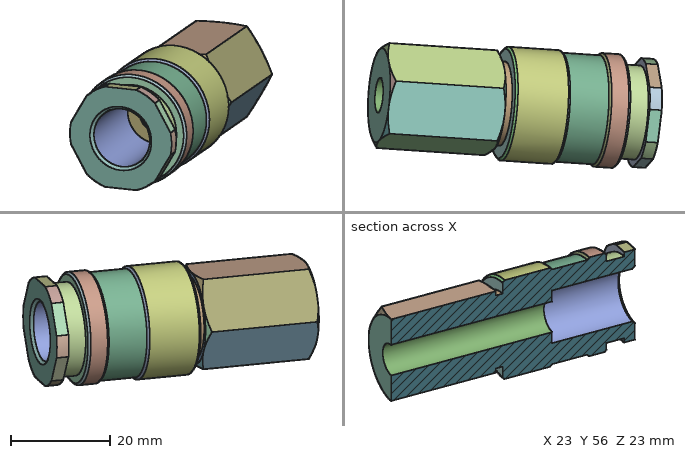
import cadquery as cq
import math

TOTAL_LENGTH = 56.0

FLANGE_END = 2.5
FRONT_COLLAR_START = 6.55
FRONT_COLLAR_END = 11.05
REAR_COLLAR_START = 19.05
REAR_COLLAR_END = 30.45
HEX_START = 32.0

COLLAR_DIAMETER = 23.0
COLLAR_RADIUS = COLLAR_DIAMETER / 2
COLLAR_CHAMFER = 0.475
SLEEVE_RADIUS = COLLAR_RADIUS - COLLAR_CHAMFER
SPIGOT_RADIUS = 9.5
NECK_RADIUS = 8.5

FLANGE_FLATS = 21.0
HEX_FLATS = 19.0
HEX_CHAMFER_ANGLE = 30.0

SOCKET_RADIUS = 6.05
SOCKET_DEPTH = REAR_COLLAR_START
MOUTH_CHAMFER = 0.6
PASSAGE_DIAMETER = 7.0
PASSAGE_RADIUS = PASSAGE_DIAMETER / 2


def cylinder(radius, start, end):
    """Cylinder on the Y axis between two positions."""
    plane = cq.Workplane("XZ", origin=(0, start, 0))
    return plane.circle(radius).extrude(start - end)


def hexagon(across_flats, start, end):
    """Hexagonal prism on the Y axis, with corners on +X and -X."""
    across_corners = across_flats / math.cos(math.pi / 6)
    plane = cq.Workplane("XZ", origin=(0, start, 0))
    return plane.polygon(6, across_corners).extrude(start - end)


def collar(start, end):
    """Raised ring with both rims chamfered."""
    return cylinder(COLLAR_RADIUS, start, end).edges("%CIRCLE").chamfer(COLLAR_CHAMFER)


def hex_end():
    """Wrench hexagon with conical chamfers cutting back its corners at both ends."""
    flat_radius = HEX_FLATS / 2
    corner_radius = flat_radius / math.cos(math.pi / 6)
    chamfer_length = (corner_radius - flat_radius) * math.tan(math.radians(HEX_CHAMFER_ANGLE))
    envelope = (
        cq.Workplane("XY")
        .moveTo(0, HEX_START)
        .lineTo(flat_radius, HEX_START)
        .lineTo(corner_radius, HEX_START + chamfer_length)
        .lineTo(corner_radius, TOTAL_LENGTH - chamfer_length)
        .lineTo(flat_radius, TOTAL_LENGTH)
        .lineTo(0, TOTAL_LENGTH)
        .close()
        .revolve(360, (0, 0, 0), (0, 1, 0))
    )
    return hexagon(HEX_FLATS, HEX_START, TOTAL_LENGTH).intersect(envelope)


def flange():
    """Round mouth flange with six wrench flats."""
    return cylinder(SLEEVE_RADIUS, 0, FLANGE_END).intersect(hexagon(FLANGE_FLATS, 0, FLANGE_END))


def bore():
    """Chamfered socket at the mouth, followed by the narrower through passage."""
    profile = (
        cq.Workplane("XY")
        .lineTo(SOCKET_RADIUS + MOUTH_CHAMFER, 0)
        .lineTo(SOCKET_RADIUS, MOUTH_CHAMFER)
        .lineTo(SOCKET_RADIUS, SOCKET_DEPTH)
        .lineTo(PASSAGE_RADIUS, SOCKET_DEPTH)
        .lineTo(PASSAGE_RADIUS, TOTAL_LENGTH)
        .lineTo(0, TOTAL_LENGTH)
        .close()
    )
    return profile.revolve(360, (0, 0, 0), (0, 1, 0))


spigot = cylinder(SPIGOT_RADIUS, 0, FRONT_COLLAR_END)
sleeve = cylinder(SLEEVE_RADIUS, FRONT_COLLAR_START, REAR_COLLAR_END)
neck = cylinder(NECK_RADIUS, REAR_COLLAR_START, TOTAL_LENGTH)

result = (
    flange()
    .union(spigot)
    .union(sleeve)
    .union(collar(FRONT_COLLAR_START, FRONT_COLLAR_END))
    .union(collar(REAR_COLLAR_START, REAR_COLLAR_END))
    .union(neck)
    .union(hex_end())
    .cut(bore())
)